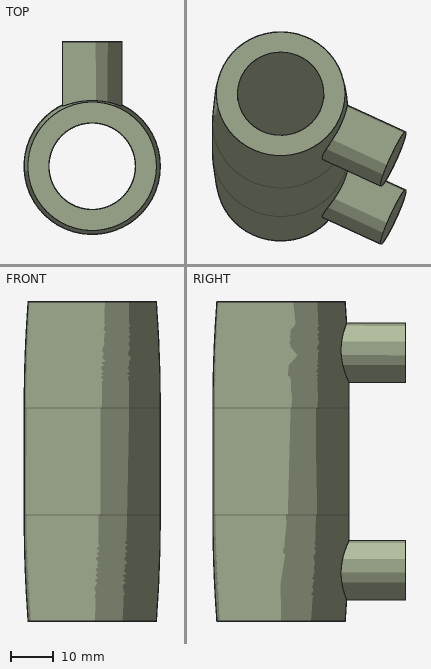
import cadquery as cq

length = 75.0
middle_diameter = 32.0
end_diameter = 30.15
bore_diameter = 20.25
taper_length = length / 3

peg_diameter = 14.0
peg_reach = 29.25
peg_spacing = 51.0

middle_radius = middle_diameter / 2
end_radius = end_diameter / 2
bore_radius = bore_diameter / 2
half_length = length / 2
half_middle = half_length - taper_length


def make_barrel():
    """Revolve a solid barrel whose end arcs run smoothly into the straight middle."""
    profile = (
        cq.Workplane("XZ")
        .moveTo(0, -half_middle)
        .lineTo(middle_radius, -half_middle)
        .lineTo(middle_radius, half_middle)
        .tangentArcPoint((end_radius, half_length), relative=False)
        .lineTo(0, half_length)
        .close()
    )
    upper = profile.revolve(360, (0, 0, 0), (0, 1, 0))
    return upper.union(upper.mirror("XY"))


def make_peg(z):
    """Peg from the sleeve axis out along +Y at height z."""
    peg = cq.Workplane("XZ").circle(peg_diameter / 2).extrude(-peg_reach)
    return peg.translate((0, 0, z))


result = make_barrel()
for side in (-1, 1):
    result = result.union(make_peg(side * peg_spacing / 2))

bore = cq.Workplane("XY").circle(bore_radius).extrude(length).translate((0, 0, -half_length))
result = result.cut(bore)